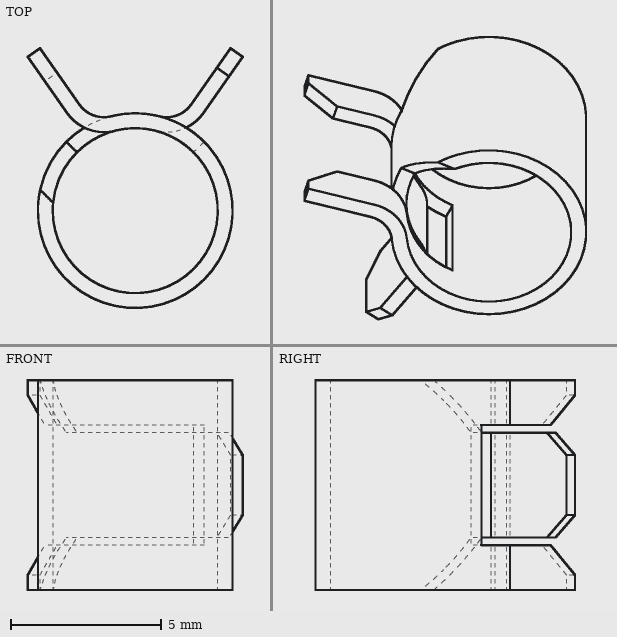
import cadquery as cq
import math


ring_radius = 3.25
thickness = 0.5
band_height = 7.0
arm_span = 7.17
total_depth = 8.66

arm_angle = math.radians(55)
bend_radius = 1.0
root_angle = math.radians(45)
tab_width = 3.5
fork_gap = 4.0
prong_chamfer = 1.0
tab_chamfer_length = 0.8
tab_chamfer_height = 0.75

inner_radius = ring_radius - thickness
outer_bend_radius = bend_radius + thickness
half_height = band_height / 2
half_tab = tab_width / 2
half_gap = fork_gap / 2
taper_size = half_height - half_tab

arm_direction = (math.cos(arm_angle), -math.sin(arm_angle))
arm_normal = (math.sin(arm_angle), math.cos(arm_angle))
tip_upper = (thickness * arm_normal[0] - arm_span / 2, total_depth - ring_radius)

bend_distance = ring_radius + bend_radius
upper_face_offset = tip_upper[0] * arm_normal[0] + tip_upper[1] * arm_normal[1]
normal_angle = math.pi / 2 - arm_angle
bend_angle = normal_angle + math.acos((upper_face_offset + bend_radius) / bend_distance)


def polar(radius, angle, center=(0, 0)):
    """Point at a radius and angle around a center."""
    return (center[0] + radius * math.cos(angle), center[1] + radius * math.sin(angle))


bend_center = polar(bend_distance, bend_angle)


def strip(end_angle):
    """Full-height left arm, its bend and the ring arc running clockwise to end_angle."""
    arc_middle = (end_angle + bend_angle) / 2
    arm_side = normal_angle + math.pi
    ring_side = bend_angle + math.pi
    bend_middle = (arm_side + ring_side) / 2
    tip_lower = (tip_upper[0] - thickness * arm_normal[0], tip_upper[1] - thickness * arm_normal[1])
    return (
        cq.Workplane("XY", origin=(0, 0, -half_height))
        .moveTo(*polar(ring_radius, end_angle))
        .threePointArc(polar(ring_radius, arc_middle), polar(ring_radius, bend_angle))
        .threePointArc(
            polar(bend_radius, bend_middle, bend_center),
            polar(bend_radius, arm_side, bend_center),
        )
        .lineTo(*tip_upper)
        .lineTo(*tip_lower)
        .lineTo(*polar(outer_bend_radius, arm_side, bend_center))
        .threePointArc(
            polar(outer_bend_radius, bend_middle, bend_center),
            polar(inner_radius, bend_angle),
        )
        .threePointArc(polar(inner_radius, arc_middle), polar(inner_radius, end_angle))
        .close()
        .extrude(band_height)
    )


def tip_corner(edge_z, length, height):
    """Cutter for a left arm tip corner, reaching from edge_z by height along Z."""
    face = cq.Plane(
        origin=(tip_upper[0], tip_upper[1], 0),
        xDir=(*arm_direction, 0),
        normal=(-arm_normal[0], -arm_normal[1], 0),
    )
    corners = [(0, edge_z), (length, edge_z), (0, edge_z + height)]
    return cq.Workplane(face).polyline(corners).close().extrude(thickness)


def root_cutter(outline):
    """Cut an outline through the strip beyond the root; x runs from the root towards the arm."""
    root_plane = cq.Plane(
        origin=(0, 0, 0),
        xDir=(-math.sin(root_angle), math.cos(root_angle), 0),
        normal=(math.cos(root_angle), math.sin(root_angle), 0),
    )
    return cq.Workplane(root_plane).polyline(outline).close().extrude(total_depth)


def fork_piece():
    """Right and front of the ring with two prongs, chamfered on the edges that face each other."""
    slot_outline = [
        (0, -half_gap),
        (total_depth, -half_gap),
        (total_depth, half_gap),
        (0, half_gap),
    ]
    piece = strip(-math.pi).cut(root_cutter(slot_outline))
    for side in (1, -1):
        piece = piece.cut(tip_corner(side * half_gap, prong_chamfer, side * prong_chamfer))
    return piece


def tab_piece():
    """Left rear of the ring, tapering to a single tab that is chamfered at both tip corners."""
    piece = strip(0)
    for side in (1, -1):
        shoulder_outline = [
            (-taper_size, side * half_height),
            (0, side * half_tab),
            (total_depth, side * half_tab),
            (total_depth, side * half_height),
        ]
        corner = tip_corner(side * half_tab, tab_chamfer_length, -side * tab_chamfer_height)
        piece = piece.cut(root_cutter(shoulder_outline)).cut(corner)
    return piece.mirror("YZ")


result = fork_piece().union(tab_piece(), clean=False)